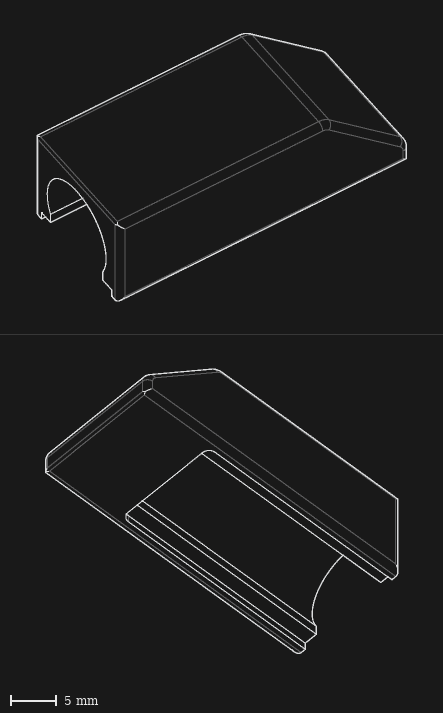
import cadquery as cq

width = 16.55
length = 38.0
height = 12.5
front = -length / 2
back = length / 2

slope_run = 10.55
rear_wall_height = 2.93
slope_bend_radius = 2.0

side_radius = 0.8
end_radius = 0.3

bore_radius = 5.75
bore_height = 5.0
neck_width = 10.2
channel_depth = length - slope_run

recess_width = 13.68
recess_height = 1.03
recess_corner_radius = 0.95

margin = 3.8


def block():
    """Plain box of the outer size."""
    return cq.Workplane("XY").box(width, length, height, centered=(True, True, False))


def sloped_body():
    """Body with a sloped rear and rounded sides, oversize at the front and underside."""
    body = (
        cq.Workplane("YZ")
        .moveTo(front - margin, -margin)
        .lineTo(back, -margin)
        .lineTo(back, rear_wall_height)
        .lineTo(back - slope_run, height)
        .lineTo(front - margin, height)
        .close()
        .extrude(width / 2, both=True)
    )
    rear_edges = body.edges("|X").edges(">Y or >Z")
    bends = rear_edges.edges("not (<Y or <Z)")
    body = bends.fillet(slope_bend_radius)
    rim = body.faces("<X or >X").edges("not (<Y or <Z)")
    return rim.fillet(side_radius)


def outer_body():
    """Sloped body trimmed to size by blocks rounded along each axis."""
    long_rounded = block().edges("|Y").fillet(side_radius)
    upright_rounded = block().edges("|Z").fillet(side_radius)
    end_edges = block().edges("|X").edges("(<Y and >Z) or (>Y and <Z)")
    end_rounded = end_edges.fillet(end_radius)
    return sloped_body().intersect(long_rounded).intersect(upright_rounded).intersect(end_rounded)


def channel():
    """Round bore joined to a narrower neck that opens through the underside."""
    bore = (
        cq.Workplane("XZ", origin=(0, front, 0))
        .center(0, bore_height)
        .circle(bore_radius)
        .extrude(-channel_depth)
    )
    neck = cq.Workplane("XY", origin=(0, front, 0)).box(
        neck_width, channel_depth, bore_height, centered=(True, False, False)
    )
    return bore.union(neck)


def cover_recess():
    """Shallow pocket with rounded rear corners."""
    pocket = cq.Workplane("XY", origin=(0, front, 0)).box(
        recess_width, channel_depth, recess_height, centered=(True, False, False)
    )
    return pocket.edges("|Z and >Y").fillet(recess_corner_radius)


result = outer_body().cut(channel()).cut(cover_recess())